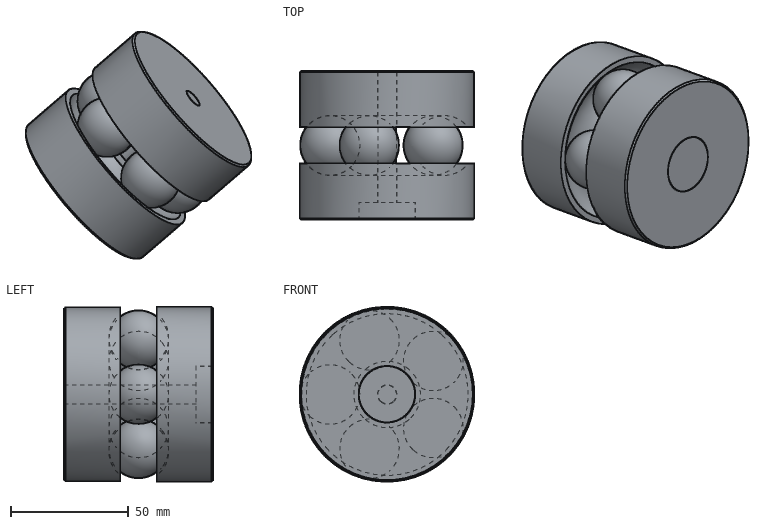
import cadquery as cq


front_diameter = 74.6
rear_diameter = 74.25
overall_length = 63.5
race_thickness = 24.0
rim_chamfer = 0.75
race_gap = overall_length - 2 * race_thickness

spindle_diameter = 7.9
bore_diameter = 8.2
head_diameter = 23.9
head_recess_diameter = 24.2
head_thickness = 7.5

ball_count = 5
ball_diameter = 25.4
pitch_radius = 24.3
groove_clearance = 0.1
groove_radius = ball_diameter / 2 + groove_clearance

front_face = -overall_length / 2
rear_face = overall_length / 2


def cylinder_along_y(diameter, start, length):
    """Cylinder on the Y axis from Y = start towards +Y."""
    plane = cq.Workplane("XZ", origin=(0, start, 0))
    return plane.circle(diameter / 2).extrude(-length)


def make_groove_ring():
    """Torus around Y that cuts the ball groove in both races."""
    ring = cq.Solid.makeTorus(
        pitch_radius, groove_radius, cq.Vector(0, 0, 0), cq.Vector(0, 1, 0)
    )
    return cq.Workplane(ring)


def make_race(diameter, start, outer_face_selector):
    """Disc with a chamfered outer rim, a through bore and a ball groove."""
    race = cylinder_along_y(diameter, start, race_thickness)
    race = race.faces(outer_face_selector).edges().chamfer(rim_chamfer)
    race = race.cut(cylinder_along_y(bore_diameter, start, race_thickness))
    return race.cut(make_groove_ring())


def make_front_race():
    """Front race, with a recess for the spindle head."""
    race = make_race(front_diameter, front_face, "<Y")
    return race.cut(cylinder_along_y(head_recess_diameter, front_face, head_thickness))


def make_rear_race():
    return make_race(rear_diameter, race_gap / 2, ">Y")


def make_spindle():
    """Shaft through both races, with its head flush in the front race."""
    head = cylinder_along_y(head_diameter, front_face, head_thickness)
    shaft = cylinder_along_y(spindle_diameter, front_face, rear_face - front_face)
    return head.union(shaft)


def make_ball(turn):
    """Ball on the pitch circle, turned in degrees about Y from the -X side."""
    ball = cq.Workplane("XY").sphere(ball_diameter / 2).translate((-pitch_radius, 0, 0))
    return ball.rotate((0, 0, 0), (0, 1, 0), turn)


front_race = make_front_race()
rear_race = make_rear_race()
spindle = make_spindle()

balls = []
for index in range(ball_count):
    ball = make_ball(index * 360 / ball_count)
    balls.append(ball.val())

result = cq.Compound.makeCompound([front_race.val(), rear_race.val(), spindle.val(), *balls])